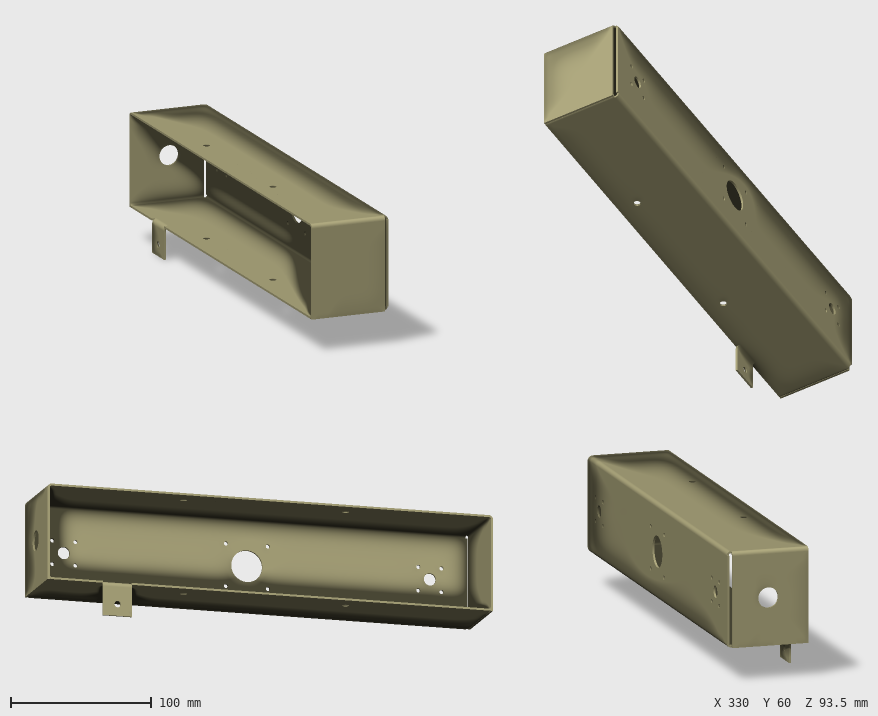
import cadquery as cq

length = 330.0
depth = 60.0
box_height = 70.0
overall_height = 93.5

sheet = 1.5
bend_outer = 3.0
bend_inner = bend_outer - sheet
edge_clearance = 1.5
end_panel_gap = 3.3
overlap = 0.3

tab_width = 21.5
tab_x = -113.2
tab_bend_outer = 3.5
tab_root_flat = 1.5
tab_hole_diameter = 4.5
tab_hole_above_edge = 8.5
tab_drop = overall_height - box_height

screw_diameter = 3.0
center_hole_diameter = 23.0
center_screw_offset = 15.5
side_hole_diameter = 9.0
side_hole_x = 135.5
side_screw_offset = 8.5

plate_hole_diameter = 5.0
plate_hole_x = 60.0
plate_hole_y = 15.0
end_hole_diameter = 15.0

half_length = length / 2
mid_z = box_height / 2
flat_half_length = half_length - bend_outer
end_panel_depth = depth - end_panel_gap
tab_root_depth = tab_bend_outer + tab_root_flat


def box_between(low, high):
    """Box spanning two opposite corners."""
    size = [b - a for a, b in zip(low, high)]
    return cq.Workplane("XY").box(*size, centered=False).translate(low)


def make_channel():
    """Bottom, back and top plates joined by two bends."""
    low = (-flat_half_length, 0, 0)
    high = (flat_half_length, depth, box_height)
    outer = box_between(low, high).edges("|X and >Y").fillet(bend_outer)
    inner = box_between(
        (-half_length, -overlap, sheet),
        (half_length, depth - sheet, box_height - sheet),
    )
    inner = inner.edges("|X and >Y").fillet(bend_inner)
    return outer.cut(inner)


def make_back_extension():
    """Flat strip widening the back plate between its bends."""
    reach = half_length - edge_clearance
    return box_between(
        (-reach, depth - sheet, bend_outer),
        (reach, depth, box_height - bend_outer),
    )


def make_end_bends():
    """Rounded tube that bends the top and bottom plates into the end panels."""
    outer = box_between((-half_length, 0, 0), (half_length, end_panel_depth, box_height))
    outer = outer.edges("|Y").fillet(bend_outer)
    inner_half = half_length - sheet
    inner = box_between(
        (-inner_half, -overlap, sheet),
        (inner_half, depth, box_height - sheet),
    )
    inner = inner.edges("|Y").fillet(bend_inner)
    return outer.cut(inner)


def make_end_panel(outer_x, inner_x):
    """Flat end panel reaching down to the underside of the bottom plate."""
    return box_between(
        (min(outer_x, inner_x), 0, 0),
        (max(outer_x, inner_x), end_panel_depth, box_height - bend_outer),
    )


def make_tab():
    """Tab bent down from the front edge of the bottom plate."""
    outer = box_between(
        (tab_x - tab_width / 2, 0, -tab_drop),
        (tab_x + tab_width / 2, tab_root_depth, sheet),
    )
    outer = outer.edges("|X and <Y and >Z").fillet(tab_bend_outer)
    inner = box_between(
        (tab_x - tab_width, sheet, -tab_drop - overlap),
        (tab_x + tab_width, depth, 0),
    )
    inner = inner.edges("|X and <Y and >Z").fillet(tab_bend_outer - sheet)
    return outer.cut(inner)


def make_tab_clearance():
    """Front edge of the bottom plate that the tab bend replaces."""
    return box_between(
        (tab_x - tab_width / 2, -overlap, -overlap),
        (tab_x + tab_width / 2, tab_root_depth, sheet + overlap),
    )


def hole_along_y(x, z, diameter):
    """Cutter through the full depth."""
    plane = cq.Workplane("XZ", origin=(x, -overlap, z))
    return plane.circle(diameter / 2).extrude(-depth - 2 * overlap)


def drill_group(body, x, diameter, screw_offset):
    """Round opening with four screw holes on a square."""
    body = body.cut(hole_along_y(x, mid_z, diameter))
    for dx in (-screw_offset, screw_offset):
        for dz in (-screw_offset, screw_offset):
            body = body.cut(hole_along_y(x + dx, mid_z + dz, screw_diameter))
    return body


result = make_channel().union(make_end_bends()).union(make_back_extension())
for side in (-1, 1):
    result = result.union(make_end_panel(side * half_length, side * (half_length - sheet)))
result = result.cut(make_tab_clearance()).union(make_tab())

result = drill_group(result, 0, center_hole_diameter, center_screw_offset)
for x in (-side_hole_x, side_hole_x):
    result = drill_group(result, x, side_hole_diameter, side_screw_offset)

result = result.cut(hole_along_y(tab_x, tab_hole_above_edge - tab_drop, tab_hole_diameter))

for x in (-plate_hole_x, plate_hole_x):
    plane = cq.Workplane("XY", origin=(x, plate_hole_y, -overlap))
    result = result.cut(plane.circle(plate_hole_diameter / 2).extrude(box_height + 2 * overlap))

end_plane = cq.Workplane("YZ", origin=(-half_length - overlap, depth / 2, mid_z))
result = result.cut(end_plane.circle(end_hole_diameter / 2).extrude(sheet + 2 * overlap))